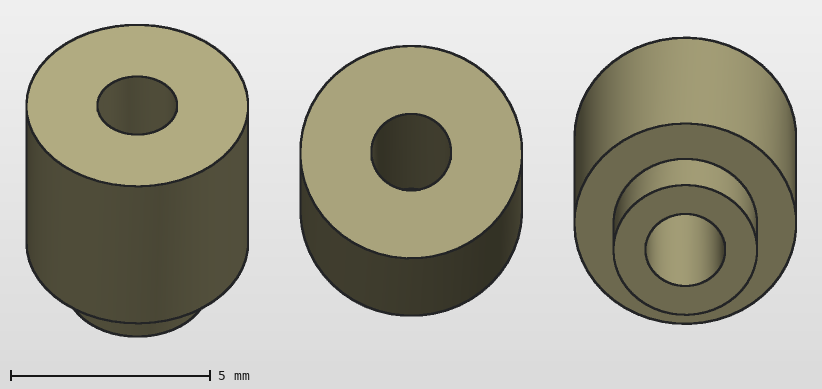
import cadquery as cq

total_height = 6.53
body_diameter = 5.56
spigot_diameter = 3.6
bore_diameter = 2.0
spigot_height = 1.53
body_height = total_height - spigot_height

spigot = cq.Workplane("XY").circle(spigot_diameter / 2).extrude(spigot_height)
stepped_body = spigot.faces(">Z").workplane().circle(body_diameter / 2).extrude(body_height)

bore = cq.Workplane("XY").circle(bore_diameter / 2).extrude(total_height)

result = stepped_body.cut(bore)